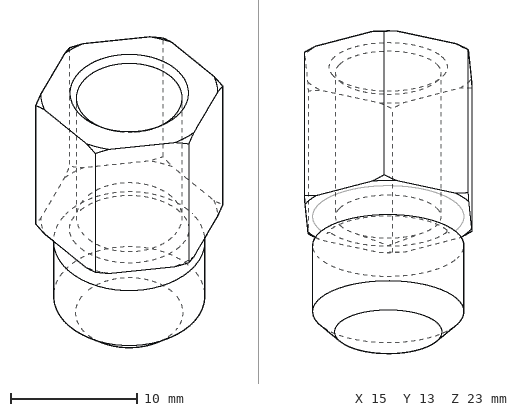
import cadquery as cq
import math

total_height = 23.0
hex_across_flats = 13.0
hex_height = 13.0
hex_across_corners = hex_across_flats / math.cos(math.radians(30))

hex_face_diameter = 14.03
hex_chamfer_angle = 30.0

spigot_diameter = 12.0
undercut_width = 2.5
spigot_chamfer = 1.75

bore_diameter = 8.37
bore_depth = 13.0
drill_point_angle = 118.0
countersink_diameter = 9.38

hex_bottom = total_height - hex_height
spigot_radius = spigot_diameter / 2
undercut_radius = undercut_width / 2
undercut_bottom = hex_bottom - undercut_width


def hexagon():
    """Hexagonal prism with its corners turned down to a cone at each end."""
    prism = (
        cq.Workplane("XY")
        .workplane(offset=hex_bottom)
        .polygon(6, hex_across_corners)
        .extrude(hex_height)
    )
    face_radius = hex_face_diameter / 2
    corner_radius = hex_across_corners / 2
    drop = (corner_radius - face_radius) * math.tan(math.radians(hex_chamfer_angle))
    envelope_radius = 2 * corner_radius - face_radius
    envelope = (
        cq.Workplane("XZ")
        .moveTo(0, hex_bottom)
        .lineTo(face_radius, hex_bottom)
        .lineTo(envelope_radius, hex_bottom + 2 * drop)
        .lineTo(envelope_radius, total_height - 2 * drop)
        .lineTo(face_radius, total_height)
        .lineTo(0, total_height)
        .close()
        .revolve()
    )
    return prism.intersect(envelope)


def spigot():
    """Turned spigot with a chamfered tip and an undercut next to the hexagon."""
    return (
        cq.Workplane("XZ")
        .lineTo(spigot_radius - spigot_chamfer, 0)
        .lineTo(spigot_radius, spigot_chamfer)
        .lineTo(spigot_radius, undercut_bottom)
        .threePointArc(
            (spigot_radius - undercut_radius, undercut_bottom + undercut_radius),
            (spigot_radius, hex_bottom),
        )
        .lineTo(0, hex_bottom)
        .close()
        .revolve()
    )


def bore():
    """Drilled hole with a 45 degree countersink at its mouth."""
    bore_radius = bore_diameter / 2
    countersink_radius = countersink_diameter / 2
    countersink_depth = countersink_radius - bore_radius
    bore_floor = total_height - bore_depth
    point_depth = bore_radius / math.tan(math.radians(drill_point_angle / 2))
    return (
        cq.Workplane("XZ")
        .moveTo(0, bore_floor - point_depth)
        .lineTo(bore_radius, bore_floor)
        .lineTo(bore_radius, total_height - countersink_depth)
        .lineTo(countersink_radius, total_height)
        .lineTo(0, total_height)
        .close()
        .revolve()
    )


result = hexagon().union(spigot()).cut(bore())